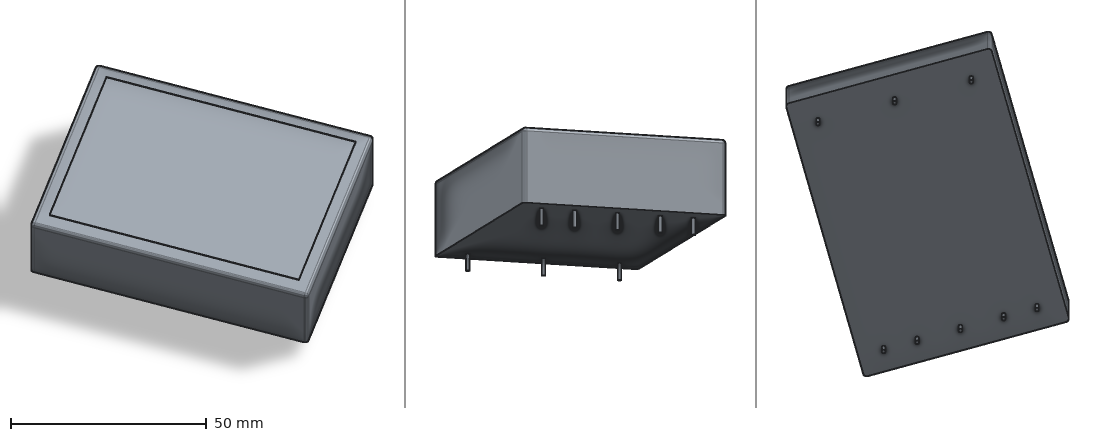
import cadquery as cq

length = 74.5
width = 54.5
total_height = 24.15
pin_length = 4.4
housing_height = total_height - pin_length
edge_radius = 1.0

label_length = 67.0
label_width = 46.7
label_thickness = 0.2
label_offset_y = 0.5

pin_diameter = 1.0
pin_row_x = 31.1
outer_pin_y = 20.35
inner_pin_y = 11.5
left_row_y = [-outer_pin_y, -inner_pin_y, 0, inner_pin_y, outer_pin_y]
right_row_y = [-outer_pin_y, 0, outer_pin_y]


def make_label():
    """Thin plate whose upper face is level with the top of the housing."""
    return (
        cq.Workplane("XY")
        .box(label_length, label_width, label_thickness, centered=(True, True, False))
        .translate((0, label_offset_y, housing_height - label_thickness))
    )


def make_housing(label):
    """Block with rounded upright and top edges and a recess for the label."""
    block = cq.Workplane("XY").box(length, width, housing_height, centered=(True, True, False))
    rounded = block.edges("|Z or >Z").fillet(edge_radius)
    return rounded.cut(label)


def make_pin(x, y):
    """Pin hanging down from the underside of the housing."""
    pin = cq.Workplane("XY").circle(pin_diameter / 2).extrude(-pin_length)
    return pin.translate((x, y, 0))


label = make_label()
housing = make_housing(label)

pins = []
for row_x, row_y in [(-pin_row_x, left_row_y), (pin_row_x, right_row_y)]:
    for y in row_y:
        pins.append(make_pin(row_x, y).val())

result = cq.Compound.makeCompound([housing.val(), label.val(), *pins])